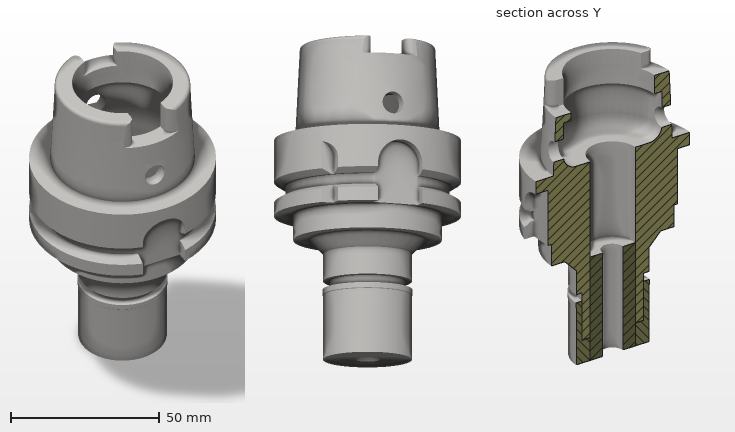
import cadquery as cq
import math


OVERALL_LENGTH = 107.0
SHANK_HEIGHT = 32.0
SHANK_BASE_RADIUS = 24.4
TAPER_PER_LENGTH = 1 / 20
SHANK_TOP_RADIUS = SHANK_BASE_RADIUS - TAPER_PER_LENGTH * SHANK_HEIGHT
SHANK_RIM_FILLET = 1.3

MOUTH_RADIUS = 17.0
MOUTH_DEPTH = 13.2
CAVITY_RADIUS = 20.0
CAVITY_FLOOR_DEPTH = 31.0
CAVITY_FLOOR_FILLET = 5.0
MOUTH_END_Z = SHANK_HEIGHT - MOUTH_DEPTH
CAVITY_FLOOR_Z = SHANK_HEIGHT - CAVITY_FLOOR_DEPTH

CROSS_HOLE_RADIUS = 3.7
CROSS_HOLE_Z = 9.0

KEY_HALF_WIDTH = 6.2
KEY_CORNER_RADIUS = 2.6
KEY_OPEN_X = 20.9
SHALLOW_KEY_DEPTH = 6.0
DEEP_KEY_DEPTH = 10.1

FLANGE_DIAMETER = 63.0
FLANGE_RADIUS = FLANGE_DIAMETER / 2
GROOVE_LEDGE_RADIUS = 28.8
GROOVE_RADIUS = 27.6
UPPER_RIM_Z = -14.4
GROOVE_TOP_Z = -16.2
GROOVE_BOTTOM_Z = -19.9
LOWER_RIM_Z = -21.4
FLANGE_BOTTOM_Z = -26.0

SLOT_HALF_WIDTH = 8.0
SLOT_FLOOR_X = 26.5
SLOT_APEX_Z = -4.9

NOTCH_RADIUS = 6.0
NOTCH_WALL_Y = 20.1
NOTCH_FLOOR_X = 20.0

COLLAR_RADIUS = 25.0
COLLAR_BOTTOM_Z = -34.2
CONE_TOP_RADIUS = 19.6
CONE_BOTTOM_Z = -39.0
NOSE_RADIUS = 15.0
NOSE_BOTTOM_Z = -48.3
NECK_RADIUS = 12.6
NECK_BOTTOM_Z = -66.3

BOTTOM_Z = SHANK_HEIGHT - OVERALL_LENGTH
NUT_TOP_Z = -51.1
NUT_RADIUS = NOSE_RADIUS
NUT_RIM_RADIUS = 15.2
NUT_RIM_HEIGHT = 1.8
NUT_RIM_CHAMFER = NUT_RIM_RADIUS - NUT_RADIUS

COLLET_RADIUS = 9.1
COLLET_BORE_RADIUS = 4.1
COLLET_LENGTH = 39.6


def revolve_profile(points):
    """Turn a closed (radius, z) outline around the Z axis."""
    return cq.Workplane("XZ").polyline(points).close().revolve(360, (0, 0, 0), (0, 1, 0))


def holder_blank():
    """Turned outside of the shank, flange and nose."""
    blank = revolve_profile([
        (0, SHANK_HEIGHT),
        (SHANK_TOP_RADIUS, SHANK_HEIGHT),
        (SHANK_BASE_RADIUS, 0),
        (FLANGE_RADIUS, 0),
        (FLANGE_RADIUS, UPPER_RIM_Z),
        (GROOVE_LEDGE_RADIUS, GROOVE_TOP_Z),
        (GROOVE_RADIUS, GROOVE_TOP_Z),
        (GROOVE_RADIUS, GROOVE_BOTTOM_Z),
        (GROOVE_LEDGE_RADIUS, GROOVE_BOTTOM_Z),
        (FLANGE_RADIUS, LOWER_RIM_Z),
        (FLANGE_RADIUS, FLANGE_BOTTOM_Z),
        (COLLAR_RADIUS, FLANGE_BOTTOM_Z),
        (COLLAR_RADIUS, COLLAR_BOTTOM_Z),
        (CONE_TOP_RADIUS, COLLAR_BOTTOM_Z),
        (NOSE_RADIUS, CONE_BOTTOM_Z),
        (NOSE_RADIUS, NOSE_BOTTOM_Z),
        (NECK_RADIUS, NOSE_BOTTOM_Z),
        (NECK_RADIUS, NECK_BOTTOM_Z),
        (0, NECK_BOTTOM_Z),
    ])
    return blank.faces(">Z").edges().fillet(SHANK_RIM_FILLET)


def shank_cavity():
    """Mouth bore opening into a wider cavity with a rounded floor corner."""
    mouth = cq.Workplane("XY").workplane(offset=MOUTH_END_Z).circle(MOUTH_RADIUS).extrude(MOUTH_DEPTH)
    cavity = (
        cq.Workplane("XY").workplane(offset=CAVITY_FLOOR_Z)
        .circle(CAVITY_RADIUS).extrude(MOUTH_END_Z - CAVITY_FLOOR_Z)
        .faces("<Z").edges().fillet(CAVITY_FLOOR_FILLET)
    )
    return mouth.union(cavity)


def collet_passage():
    """Straight hole from the cavity floor through the neck."""
    return (
        cq.Workplane("XY").workplane(offset=NECK_BOTTOM_Z)
        .circle(COLLET_RADIUS).extrude(CAVITY_FLOOR_Z - NECK_BOTTOM_Z)
    )


def cross_hole():
    """Hole along X through both shank walls."""
    return (
        cq.Workplane("YZ").center(0, CROSS_HOLE_Z)
        .circle(CROSS_HOLE_RADIUS).extrude(SHANK_BASE_RADIUS, both=True)
    )


def key_notch(side, depth):
    """Notch in the shank rim that flares with rounded corners; side is +1 for +X, -1 for -X."""
    r = KEY_CORNER_RADIUS
    corner_x = KEY_OPEN_X - r
    corner_y = KEY_HALF_WIDTH + r
    mid_x = corner_x + r * math.sin(math.pi / 4)
    mid_y = corner_y - r * math.cos(math.pi / 4)
    outer = SHANK_BASE_RADIUS
    return (
        cq.Workplane("XY").workplane(offset=SHANK_HEIGHT - depth)
        .moveTo(0, -KEY_HALF_WIDTH)
        .lineTo(side * corner_x, -KEY_HALF_WIDTH)
        .threePointArc((side * mid_x, -mid_y), (side * KEY_OPEN_X, -corner_y))
        .lineTo(side * KEY_OPEN_X, -outer)
        .lineTo(side * outer, -outer)
        .lineTo(side * outer, outer)
        .lineTo(side * KEY_OPEN_X, outer)
        .lineTo(side * KEY_OPEN_X, corner_y)
        .threePointArc((side * mid_x, mid_y), (side * corner_x, KEY_HALF_WIDTH))
        .lineTo(0, KEY_HALF_WIDTH)
        .close()
        .extrude(depth)
    )


def arched_cut(center_y, half_width, floor_x, side):
    """Round-topped slot in the flange, open downward, from its floor out past the rim along X."""
    arch_z = SLOT_APEX_Z - half_width
    return (
        cq.Workplane("YZ").workplane(offset=side * floor_x)
        .moveTo(center_y - half_width, FLANGE_BOTTOM_Z)
        .lineTo(center_y - half_width, arch_z)
        .threePointArc((center_y, SLOT_APEX_Z), (center_y + half_width, arch_z))
        .lineTo(center_y + half_width, FLANGE_BOTTOM_Z)
        .close()
        .extrude(side * (FLANGE_RADIUS - floor_x))
    )


def make_holder():
    holder = holder_blank().cut(shank_cavity()).cut(collet_passage()).cut(cross_hole())
    for side, key_depth in ((-1, SHALLOW_KEY_DEPTH), (1, DEEP_KEY_DEPTH)):
        holder = holder.cut(key_notch(side, key_depth))
        holder = holder.cut(arched_cut(0, SLOT_HALF_WIDTH, SLOT_FLOOR_X, side))
    return holder.cut(arched_cut(NOTCH_WALL_Y + NOTCH_RADIUS, NOTCH_RADIUS, NOTCH_FLOOR_X, -1))


def make_nut():
    """Nut with a raised top rim, seated around the neck and closed in around the collet."""
    rim_bottom_z = NUT_TOP_Z - NUT_RIM_HEIGHT
    return revolve_profile([
        (NECK_RADIUS, NUT_TOP_Z),
        (NUT_RIM_RADIUS, NUT_TOP_Z),
        (NUT_RIM_RADIUS, rim_bottom_z),
        (NUT_RADIUS, rim_bottom_z - NUT_RIM_CHAMFER),
        (NUT_RADIUS, BOTTOM_Z),
        (COLLET_RADIUS, BOTTOM_Z),
        (COLLET_RADIUS, NECK_BOTTOM_Z),
        (NECK_RADIUS, NECK_BOTTOM_Z),
    ])


def make_collet():
    """Plain sleeve that fills the lower end of the passage, flush with the nut."""
    return (
        cq.Workplane("XY").workplane(offset=BOTTOM_Z)
        .circle(COLLET_RADIUS).circle(COLLET_BORE_RADIUS).extrude(COLLET_LENGTH)
    )


holder = make_holder()
nut = make_nut()
collet = make_collet()

result = cq.Compound.makeCompound([holder.val(), nut.val(), collet.val()])